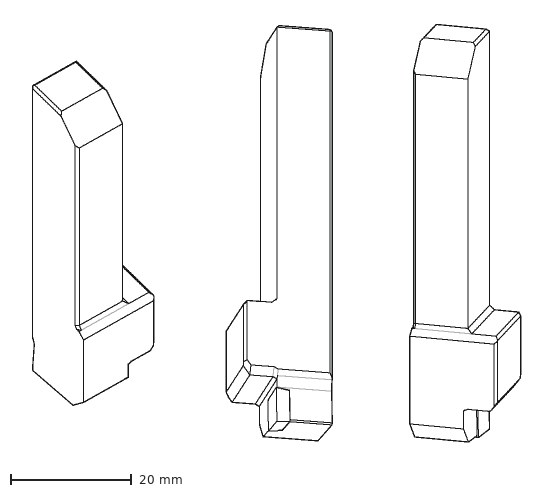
import cadquery as cq
import math

length = 70.0
head_width = 14.5
head_depth = 15.05

shank_width = 12.7
shank_depth = 9.5
edge_chamfer = 0.5
top_corner_x = 7.85
flare_height = 0.7
right_flare = 0.55
back_flare = 0.85

ledge_z = 20.9
ledge_right_x = shank_width + right_flare
ledge_corner_drop = 1.0
back_bottom_z = 8.1
slope_angle = 30.0
slope_height = 1.5
slope_run = slope_height * math.tan(math.radians(slope_angle))
bevel_depth = 1.1
bevel_rise = 1.55
root_depth = 0.7
root_drop = 0.35

seat_depth = 9.3
nose_left_x = 0.5
nose_left_z = 0.6
nose_corner_x = 0.7
nose_bottom_z = 0.35
nose_right_x = 11.6
nose_right_z = 1.4
nose_chamfer_z = 4.6

relief_top_z = back_bottom_z + slope_height - root_drop
relief_arc_z = 8.25
relief_arc_x = (relief_top_z - relief_arc_z) * math.tan(math.radians(slope_angle))
relief_end_x = 0.9
relief_end_z = 6.4

insert_thickness = 2.3
insert_length = 6.5
insert_height = 6.15
insert_bottom_rise = 0.55
insert_side_lean = 0.5
insert_relief = 6.0


def prism(points, y_start, y_end):
    """Extrude an XZ outline between two Y positions."""
    outline = cq.Workplane("XZ", origin=(0, y_end, 0)).polyline(points).close()
    return outline.extrude(y_end - y_start)


def make_shank():
    corner_z = length - (shank_width - top_corner_x)
    bar = prism(
        [
            (0, ledge_z),
            (0, length),
            (top_corner_x, length),
            (shank_width, corner_z),
            (shank_width, ledge_z),
        ],
        0,
        shank_depth,
    )
    bar = bar.faces(">Z").edges("<X or |X").chamfer(edge_chamfer)
    shank = bar.union(make_flare())
    tolerance = 0.1
    right_front = cq.selectors.BoxSelector(
        (shank_width - tolerance, -tolerance, ledge_z + tolerance),
        (head_width, tolerance, corner_z - tolerance),
    )
    return shank.edges(right_front).chamfer(edge_chamfer)


def make_flare():
    """Mitred widening on the right and back sides of the shank."""
    return (
        cq.Workplane("XY", origin=(0, 0, ledge_z))
        .rect(ledge_right_x, shank_depth + back_flare, centered=False)
        .workplane(offset=flare_height)
        .rect(shank_width, shank_depth, centered=False)
        .loft(ruled=True)
    )


def make_nose():
    """Thin lower part of the head, in front of the rake face."""
    return (
        cq.Workplane("XZ", origin=(0, seat_depth, 0))
        .moveTo(0, ledge_z)
        .lineTo(0, relief_top_z)
        .lineTo(relief_arc_x, relief_arc_z)
        .tangentArcPoint((relief_end_x, relief_end_z), relative=False)
        .lineTo(nose_left_x, nose_left_z)
        .lineTo(nose_corner_x, nose_bottom_z)
        .lineTo(nose_right_x, nose_right_z)
        .lineTo(head_width, nose_chamfer_z)
        .lineTo(head_width, ledge_z - ledge_corner_drop)
        .lineTo(ledge_right_x, ledge_z)
        .close()
        .extrude(seat_depth)
    )


def block_outline(lift):
    """XZ outline of the back block with its lower edges lifted by the given amount."""
    return [
        (0, ledge_z),
        (0, back_bottom_z + slope_height + lift),
        (slope_run, back_bottom_z + lift),
        (head_width, back_bottom_z + lift),
        (head_width, ledge_z - ledge_corner_drop),
        (ledge_right_x, ledge_z),
    ]


def block_slice(y_start, lift_start, y_end, lift_end):
    return (
        cq.Workplane("XZ", origin=(0, y_start, 0))
        .polyline(block_outline(lift_start))
        .close()
        .workplane(offset=y_start - y_end)
        .polyline(block_outline(lift_end))
        .close()
        .loft(ruled=True)
    )


def make_back_block():
    """Deep upper part of the head, ending above the insert."""
    root_y = seat_depth + root_depth
    bevel_y = head_depth - bevel_depth
    root = block_slice(seat_depth, -root_drop, root_y, 0)
    middle = prism(block_outline(0), root_y, bevel_y)
    beveled_back = block_slice(bevel_y, 0, head_depth, bevel_rise)
    block = root.union(middle).union(beveled_back)
    for side in ("left", "right", "top"):
        block = block.cut(back_edge_bevel(side))
    return block


def back_edge_bevel(side):
    """45 degree wedge along one edge of the back face."""
    if side == "top":
        profile = [
            (head_depth, ledge_z),
            (head_depth, ledge_z - edge_chamfer),
            (head_depth - edge_chamfer, ledge_z),
        ]
        return cq.Workplane("YZ").polyline(profile).close().extrude(head_width)
    edge_x = 0 if side == "left" else head_width
    inner_x = edge_chamfer if side == "left" else head_width - edge_chamfer
    profile = [
        (edge_x, head_depth),
        (inner_x, head_depth),
        (edge_x, head_depth - edge_chamfer),
    ]
    return cq.Workplane("XY").polyline(profile).close().extrude(ledge_z)


def make_insert():
    return (
        cq.Workplane("XZ", origin=(0, shank_depth, 0))
        .polyline(
            [
                (0, 0),
                (insert_length, insert_bottom_rise),
                (insert_length + insert_side_lean, insert_height),
                (insert_side_lean, insert_height),
            ]
        )
        .close()
        .extrude(insert_thickness, taper=insert_relief)
    )


def make_holder(insert):
    holder = make_nose().union(make_back_block()).union(make_shank())
    bevel = (
        cq.Workplane("XY", origin=(0, 0, relief_arc_z))
        .polyline([(0, 0), (edge_chamfer, 0), (0, edge_chamfer)])
        .close()
        .extrude(length - relief_arc_z)
    )
    return holder.cut(bevel).cut(insert)


insert = make_insert()
holder = make_holder(insert)
result = cq.Compound.makeCompound([holder.solids().val(), insert.val()])